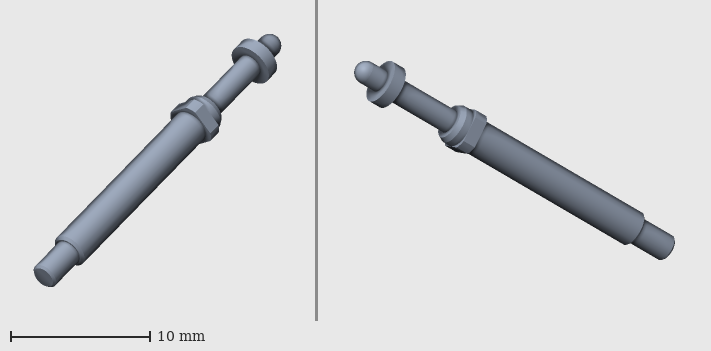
import cadquery as cq

total_length = 28.5
tail_length = 3.0
barrel_length = 15.0
collar_length = 1.0
sleeve_length = 1.0
disc_thickness = 1.0
tip_length = 2.2

tail_diameter = 2.0
tail_chamfer = 0.17
barrel_diameter = 2.65
barrel_chamfer = 0.2
collar_diameter = 3.6
collar_across_flats = 3.05
sleeve_diameter = 3.0
sleeve_bevel_length = 0.4
sleeve_face_diameter = 2.6
plunger_diameter = 1.8
disc_diameter = 3.3
tip_diameter = 1.7

barrel_start = -barrel_length
tail_start = barrel_start - tail_length
sleeve_start = collar_length
plunger_start = sleeve_start + sleeve_length
tip_end = tail_start + total_length
disc_end = tip_end - tip_length
disc_start = disc_end - disc_thickness


def cylinder(diameter, start, end):
    """Round bar on the Y axis between two stations."""
    plane = cq.Workplane("XZ", origin=(0, end, 0))
    return plane.circle(diameter / 2).extrude(end - start)


def tail():
    return cylinder(tail_diameter, tail_start, barrel_start).faces("<Y").chamfer(tail_chamfer)


def barrel():
    return cylinder(barrel_diameter, barrel_start, 0).faces("<Y").chamfer(barrel_chamfer)


def wrench_collar():
    """Round collar cut by four flats set at 45 degrees to X and Z."""
    flats = (
        cq.Workplane("XZ", origin=(0, collar_length, 0))
        .transformed(rotate=(0, 0, 45))
        .rect(collar_across_flats, collar_across_flats)
        .extrude(collar_length)
    )
    return cylinder(collar_diameter, 0, collar_length).intersect(flats)


def sleeve():
    """Short sleeve in front of the collar with a bevelled front rim."""
    rim_drop = (sleeve_diameter - sleeve_face_diameter) / 2
    body = cylinder(sleeve_diameter, sleeve_start, plunger_start)
    return body.faces(">Y").chamfer(sleeve_bevel_length, rim_drop)


def plunger():
    return cylinder(plunger_diameter, plunger_start, disc_start)


def disc():
    return cylinder(disc_diameter, disc_start, disc_end)


def tip():
    """Slim pin ending in a hemisphere."""
    radius = tip_diameter / 2
    dome_start = tip_end - radius
    dome = cq.Workplane("XY").sphere(radius).translate((0, dome_start, 0))
    return cylinder(tip_diameter, disc_end, dome_start).union(dome)


result = (
    tail()
    .union(barrel())
    .union(wrench_collar())
    .union(sleeve())
    .union(plunger())
    .union(disc())
    .union(tip())
)